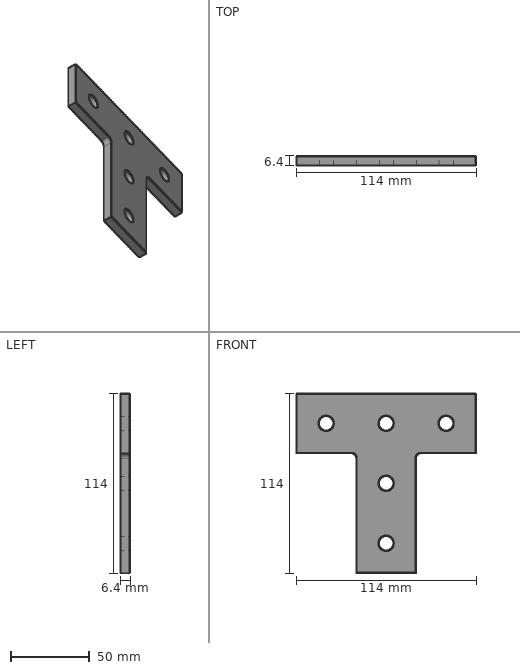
import cadquery as cq

length = 114.0
height = 114.0
thickness = 6.4
arm_width = length / 3
inner_fillet = 3.1
edge_chamfer = 0.5

hole_diameter = 9.0
hole_chamfer = 0.5
pitch = arm_width


def tee_plate():
    """T-shaped plate centred on the origin, with bevelled face outlines and top corners."""
    bar = cq.Workplane("XY").box(length, thickness, arm_width)
    bar = bar.translate((0, 0, (height - arm_width) / 2))
    stem = cq.Workplane("XY").box(arm_width, thickness, height)
    plate = bar.union(stem)

    inner_z = height / 2 - arm_width
    for side in (-1, 1):
        corner = cq.NearestToPointSelector((side * arm_width / 2, 0, inner_z))
        plate = plate.edges("|Y").edges(corner).fillet(inner_fillet)

    plate = plate.faces(">Z").edges("|Y").chamfer(edge_chamfer)

    return plate.faces("<Y or >Y").edges().chamfer(edge_chamfer)


def hole_cutter(x, z):
    """Through hole with a small countersink at both faces."""
    radius = hole_diameter / 2
    mouth_radius = radius + hole_chamfer
    half = thickness / 2
    profile = [
        (0, -half),
        (mouth_radius, -half),
        (radius, -half + hole_chamfer),
        (radius, half - hole_chamfer),
        (mouth_radius, half),
        (0, half),
    ]
    cutter = cq.Workplane("XY").polyline(profile).close().revolve(360, (0, 0), (0, 1))
    return cutter.translate((x, 0, z))


hole_centres = [(column * pitch, pitch) for column in (-1, 0, 1)]
hole_centres += [(0, row * pitch) for row in (0, -1)]

result = tee_plate()
for x, z in hole_centres:
    result = result.cut(hole_cutter(x, z))